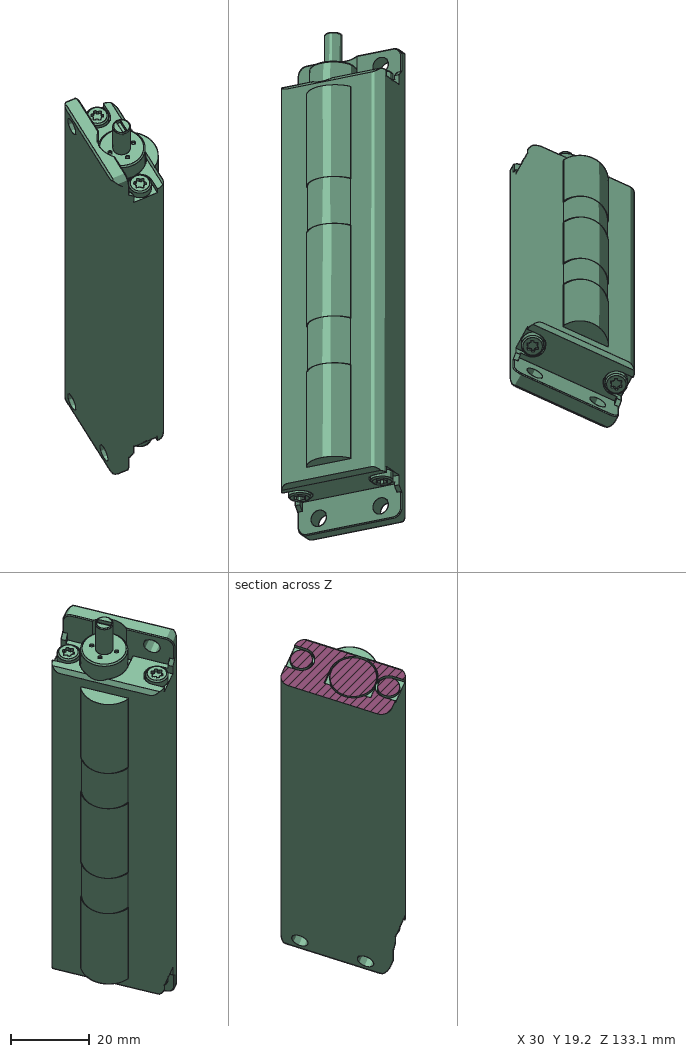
import cadquery as cq
import math

WIDTH = 30.0
TOTAL_LENGTH = 133.1
PLATE_LENGTH = 128.2
PLATE_THICKNESS = 4.1
BODY_DEPTH = 15.0
EDGE_RADIUS = 2.9
PLATE_CORNER_RADIUS = 2.5
FRONT_CHAMFER = 0.5
RIM_CHAMFER = 0.3
MID_HEIGHT = PLATE_LENGTH / 2

END_SETBACK = 9.2
RAMP_START = 6.8
WALL_THICKNESS = 1.3
RAMP_RUN = END_SETBACK - RAMP_START
BACK_CHAMFER = 1.0

HOLE_DIAMETER = 4.4
HOLE_X = 8.9
HOLE_END_OFFSET = 4.0

TOTAL_DEPTH = 19.2
BULGE_DEPTH = TOTAL_DEPTH - BODY_DEPTH
BULGE_WIDTH = 12.6
BULGE_SIDE_HEIGHT = 0.4
BULGE_LENGTH = 101.5
BULGE_BOTTOM = 13.6
BAND_WIDTH = 12.8
BAND_STARTS = (39.1, 77.2)
BAND_SIDE_INSET = 0.1

SCREW_X = 11.8
SCREW_Y = 8.8
SCREW_HEAD_DIAMETER = 5.7
SCREW_TOP_SETBACK = 8.4
SCREW_CHAMFER = 0.4
SOCKET_CORE_DIAMETER = 2.4
LOBE_COUNT = 6
LOBE_DIAMETER = 0.8
SOCKET_DEPTH = 1.0
POCKET_DIAMETER = 6.7
POCKET_SETBACK = 10.8

PIN_X = 2.4
PIN_Y = 8.4
PIN_DIAMETER = 4.5
PIN_CHAMFER = 0.3
PIN_SLOT_WIDTH = 1.2
PIN_SLOT_LENGTH = 3.7
PIN_SLOT_DEPTH = 1.0
COLLAR_DIAMETER = 12.0
COLLAR_TOP = 123.8
COLLAR_CHAMFER = 0.4
NOTCH_DIAMETER = 12.5
DIMPLE_COUNT = 4
DIMPLE_DIAMETER = 1.0
DIMPLE_CIRCLE_RADIUS = 3.3
DIMPLE_DEPTH = 0.7

BODY_TOP = PLATE_LENGTH - END_SETBACK
JOINT_OVERLAP = 0.7
TOLERANCE = 0.001


def cylinder(x, y, diameter, bottom, top):
    """Upright cylinder between two heights."""
    return cq.Workplane("XY", origin=(x, y, bottom)).circle(diameter / 2).extrude(top - bottom)


def both_ends(feature):
    """A top-end feature together with its mirror image at the bottom end."""
    return feature.union(feature.mirror("XY", (0, 0, MID_HEIGHT)))


class PlateRimSelector(cq.Selector):
    """Edges around the back of both plate ends, without the feet of the ramps."""

    def filter(self, edges):
        rim_reach = MID_HEIGHT - RAMP_START
        return [
            edge
            for edge in edges
            if math.isclose(edge.BoundingBox().ymin, PLATE_THICKNESS, abs_tol=TOLERANCE)
            and math.isclose(edge.BoundingBox().ymax, PLATE_THICKNESS, abs_tol=TOLERANCE)
            and abs(edge.Center().z - MID_HEIGHT) > rim_reach + RIM_CHAMFER
        ]


def make_housing():
    """Rounded bar trimmed to the stepped and ramped side outline."""
    bar = (
        cq.Workplane("XY")
        .rect(WIDTH, BODY_DEPTH)
        .extrude(PLATE_LENGTH)
        .translate((0, BODY_DEPTH / 2, 0))
        .edges("|Z")
        .fillet(EDGE_RADIUS)
    )
    half_outline = [
        (0, MID_HEIGHT),
        (0, PLATE_LENGTH - FRONT_CHAMFER),
        (FRONT_CHAMFER, PLATE_LENGTH),
        (PLATE_THICKNESS, PLATE_LENGTH),
        (PLATE_THICKNESS, PLATE_LENGTH - RAMP_START),
        (PLATE_THICKNESS + RAMP_RUN, BODY_TOP),
        (BODY_DEPTH - BACK_CHAMFER, BODY_TOP),
        (BODY_DEPTH, BODY_TOP - BACK_CHAMFER),
        (BODY_DEPTH, MID_HEIGHT),
    ]
    half = cq.Workplane("YZ").polyline(half_outline).close().extrude(WIDTH / 2, both=True)
    face_outline = (
        cq.Workplane("XZ")
        .rect(WIDTH, PLATE_LENGTH)
        .extrude(-BODY_DEPTH)
        .translate((0, 0, MID_HEIGHT))
        .edges("|Y")
        .fillet(PLATE_CORNER_RADIUS)
    )
    blank = bar.intersect(both_ends(half)).intersect(face_outline)
    return blank.edges(PlateRimSelector()).chamfer(RIM_CHAMFER)


def make_end_recess():
    """Space between the side walls, which leaves the end face flat up to the plate."""
    return (
        cq.Workplane("XY", origin=(0, PLATE_THICKNESS + RAMP_RUN / 2, BODY_TOP))
        .rect(WIDTH - 2 * WALL_THICKNESS, RAMP_RUN)
        .extrude(END_SETBACK)
    )


def make_mounting_holes():
    """Holes in three plate corners; the connector takes the fourth."""
    top = PLATE_LENGTH - HOLE_END_OFFSET
    bottom = HOLE_END_OFFSET
    centers = [(-HOLE_X, bottom), (HOLE_X, bottom), (-HOLE_X, top)]
    return cq.Workplane("XZ").pushPoints(centers).circle(HOLE_DIAMETER / 2).extrude(-BODY_DEPTH)


def make_bulge_section(bottom, length, width, side_height):
    """Length of the arched bulge, with straight sides below the arch."""
    side_y = BODY_DEPTH + side_height
    root_y = BODY_DEPTH - JOINT_OVERLAP
    return (
        cq.Workplane("XY", origin=(0, 0, bottom))
        .moveTo(-width / 2, root_y)
        .lineTo(-width / 2, side_y)
        .threePointArc((0, BODY_DEPTH + BULGE_DEPTH), (width / 2, side_y))
        .lineTo(width / 2, root_y)
        .close()
        .extrude(length)
    )


def make_bulge():
    """Bulge with two slightly slimmer bands across it."""
    heights = [BULGE_BOTTOM]
    for start in BAND_STARTS:
        heights += [start, start + BAND_WIDTH]
    heights.append(BULGE_BOTTOM + BULGE_LENGTH)

    bulge = cq.Workplane("XY")
    for index, (bottom, top) in enumerate(zip(heights, heights[1:])):
        is_band = index % 2 == 1
        width = BULGE_WIDTH - 2 * BAND_SIDE_INSET if is_band else BULGE_WIDTH
        side_height = 0 if is_band else BULGE_SIDE_HEIGHT
        bulge = bulge.union(make_bulge_section(bottom, top - bottom, width, side_height))
    return bulge


def make_screw_pocket(side):
    """Round pocket that runs straight out through the side wall."""
    floor = PLATE_LENGTH - POCKET_SETBACK
    ceiling = PLATE_LENGTH - RAMP_START
    opening = (
        cq.Workplane("XY", origin=(side * (SCREW_X + POCKET_DIAMETER / 2), SCREW_Y, floor))
        .rect(POCKET_DIAMETER, POCKET_DIAMETER)
        .extrude(ceiling - floor)
    )
    return cylinder(side * SCREW_X, SCREW_Y, POCKET_DIAMETER, floor, ceiling).union(opening)


def make_screw(side):
    """Cylindrical screw head with a six-lobed socket."""
    floor = PLATE_LENGTH - POCKET_SETBACK - JOINT_OVERLAP
    top = PLATE_LENGTH - SCREW_TOP_SETBACK
    head = cylinder(side * SCREW_X, SCREW_Y, SCREW_HEAD_DIAMETER, floor, top)
    socket = cylinder(side * SCREW_X, SCREW_Y, SOCKET_CORE_DIAMETER, top - SOCKET_DEPTH, top)
    for index in range(LOBE_COUNT):
        angle = index * 2 * math.pi / LOBE_COUNT
        lobe_x = side * SCREW_X + SOCKET_CORE_DIAMETER / 2 * math.cos(angle)
        lobe_y = SCREW_Y + SOCKET_CORE_DIAMETER / 2 * math.sin(angle)
        socket = socket.union(cylinder(lobe_x, lobe_y, LOBE_DIAMETER, top - SOCKET_DEPTH, top))
    return head.faces(">Z").chamfer(SCREW_CHAMFER).cut(socket)


def make_connector_notch():
    """Round notch that reaches into the plate, with a straight-sided seat below the collar."""
    seat_floor = PLATE_LENGTH - POCKET_SETBACK
    seat_depth = PIN_Y - PLATE_THICKNESS
    seat = (
        cq.Workplane("XY", origin=(PIN_X, PLATE_THICKNESS + seat_depth / 2, seat_floor))
        .rect(NOTCH_DIAMETER, seat_depth)
        .extrude(POCKET_SETBACK)
    )
    return cylinder(PIN_X, PIN_Y, NOTCH_DIAMETER, seat_floor, TOTAL_LENGTH).union(seat)


def make_connector():
    """Dimpled collar carrying the slotted pin."""
    collar_bottom = PLATE_LENGTH - POCKET_SETBACK - JOINT_OVERLAP
    collar = cylinder(PIN_X, PIN_Y, COLLAR_DIAMETER, collar_bottom, COLLAR_TOP)
    collar = collar.faces(">Z").chamfer(COLLAR_CHAMFER)
    dimples = (
        cq.Workplane("XY", origin=(PIN_X, PIN_Y, COLLAR_TOP))
        .polarArray(DIMPLE_CIRCLE_RADIUS, 0, 360, DIMPLE_COUNT)
        .circle(DIMPLE_DIAMETER / 2)
        .extrude(-DIMPLE_DEPTH)
    )
    pin = cylinder(PIN_X, PIN_Y, PIN_DIAMETER, BODY_TOP, TOTAL_LENGTH)
    pin = pin.faces(">Z").chamfer(PIN_CHAMFER)
    slot = (
        cq.Workplane("XY", origin=(PIN_X, PIN_Y, TOTAL_LENGTH))
        .rect(PIN_SLOT_LENGTH, PIN_SLOT_WIDTH)
        .extrude(-PIN_SLOT_DEPTH)
    )
    return collar.cut(dimples).union(pin).cut(slot)


housing = make_housing().cut(make_mounting_holes())
housing = housing.cut(both_ends(make_end_recess()))
for side in (-1, 1):
    housing = housing.cut(both_ends(make_screw_pocket(side)))
housing = housing.cut(make_connector_notch())

result = housing.union(make_bulge())
for side in (-1, 1):
    result = result.union(both_ends(make_screw(side)))
result = result.union(make_connector())